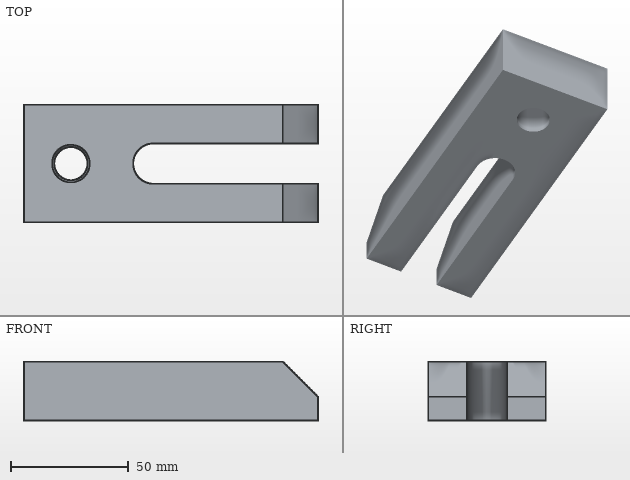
import cadquery as cq

length = 125.0
width = 50.0
height = 25.0

nose_run = 15.0
nose_drop = 15.0

slot_width = 17.0
slot_arc_center_x = 55.0

hole_x = 20.0
hole_diameter = 14.0
countersink_diameter = 16.0
countersink_depth = (countersink_diameter - hole_diameter) / 2


def make_block():
    """Clamp body: the side profile extruded across the width, centred on Y = 0."""
    return (
        cq.Workplane("XZ")
        .moveTo(0, 0)
        .lineTo(length, 0)
        .lineTo(length, height - nose_drop)
        .lineTo(length - nose_run, height)
        .lineTo(0, height)
        .close()
        .extrude(width / 2, both=True)
    )


def make_slot():
    """Round-ended slot through the full height, running out of the nose."""
    radius = slot_width / 2
    return (
        cq.Workplane("XY")
        .moveTo(length, -radius)
        .lineTo(slot_arc_center_x, -radius)
        .threePointArc((slot_arc_center_x - radius, 0), (slot_arc_center_x, radius))
        .lineTo(length, radius)
        .close()
        .extrude(height)
    )


def make_hole():
    """Through hole with a conical countersink at the top face."""
    bore_radius = hole_diameter / 2
    rim_radius = countersink_diameter / 2
    return (
        cq.Workplane("XZ")
        .moveTo(0, 0)
        .lineTo(bore_radius, 0)
        .lineTo(bore_radius, height - countersink_depth)
        .lineTo(rim_radius, height)
        .lineTo(0, height)
        .close()
        .revolve(360, (0, 0, 0), (0, 1, 0))
        .translate((hole_x, 0, 0))
    )


result = make_block().cut(make_slot()).cut(make_hole())